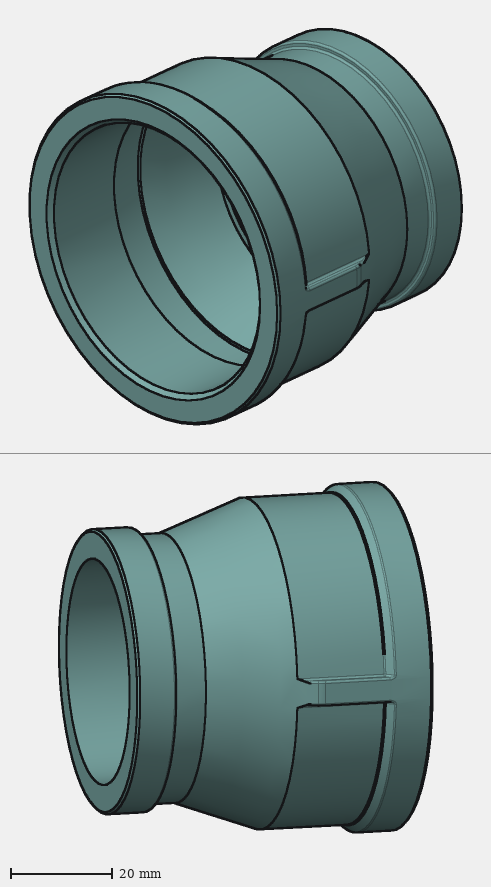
import cadquery as cq

length = 59.0
band_radius = 69.1 / 2
end_chamfer = 0.5
edge_round = 0.5

pick_slack = 0.1

band_width = 7.8
barrel_radius = 65.8 / 2
barrel_end = 27.5
recess_depth = band_radius - barrel_radius
barrel_start = band_width + recess_depth

neck_radius = 53.5 / 2
cone_end = 44.6
collar_radius = 56.5 / 2
collar_start = 51.0

cone_slope = (barrel_radius - neck_radius) / (cone_end - barrel_end)
cone_start = barrel_end - recess_depth / cone_slope
rib_end_blend = 4.15

rib_width = 5.0

large_bore_radius = 56.65 / 2
mouth_radius = 58.75 / 2
mouth_depth = 1.05
relief_radius = 60.6 / 2
relief_start = 18.1
relief_end = 26.9
taper_start_radius = 59.2 / 2
taper_end_radius = 47.95 / 2
taper_end = 42.85
small_bore_radius = 44.85 / 2


def revolve_about_y(points):
    """Revolve a closed (radius, Y) outline about the Y axis."""
    return cq.Workplane("XY").polyline(points).close().revolve(360, (0, 0, 0), (0, 1, 0))


def edges_between(body, y_low, y_high):
    """Edges of the body whose centres lie in the given stretch of the axis."""
    reach = length
    return body.edges(cq.selectors.BoxSelector((-reach, y_low, -reach), (reach, y_high, reach)))


def circles_at(body, y):
    """Circular edges that lie in the plane at the given Y."""
    return edges_between(body, y - pick_slack, y + pick_slack)


def make_body():
    """Solid outer shape before the barrel is recessed."""
    body = revolve_about_y([
        (0, 0),
        (band_radius, 0),
        (band_radius, cone_start),
        (neck_radius, cone_end),
        (neck_radius, collar_start),
        (collar_radius, collar_start),
        (collar_radius, length),
        (0, length),
    ])
    for end in (0, length):
        body = circles_at(body, end).chamfer(end_chamfer)
    body = circles_at(body, collar_start).fillet(edge_round)
    return circles_at(body, cone_start).fillet(rib_end_blend)


def make_recesses():
    """Two half rings around the barrel, parted by a rib at each end of X."""
    outer_radius = band_radius + recess_depth
    ring = revolve_about_y([
        (barrel_radius, barrel_start),
        (outer_radius, band_width - recess_depth),
        (outer_radius, barrel_end),
        (barrel_radius, barrel_end),
    ])
    rib_slab = cq.Workplane("XY").box(2 * outer_radius, 2 * length, rib_width)
    return ring.cut(rib_slab)


def make_bore():
    """Stepped through bore."""
    return revolve_about_y([
        (0, 0),
        (mouth_radius, 0),
        (large_bore_radius, mouth_depth),
        (large_bore_radius, relief_start),
        (relief_radius, relief_start),
        (relief_radius, relief_end),
        (taper_start_radius, relief_end),
        (taper_end_radius, taper_end),
        (small_bore_radius, taper_end),
        (small_bore_radius, length),
        (0, length),
    ])


def round_recesses(body):
    """Round the rib flanks, the band wall and the corners between them."""
    return edges_between(body, band_width - pick_slack, barrel_end - pick_slack).fillet(edge_round)


recessed_body = round_recesses(make_body().cut(make_recesses()))
result = recessed_body.cut(make_bore())